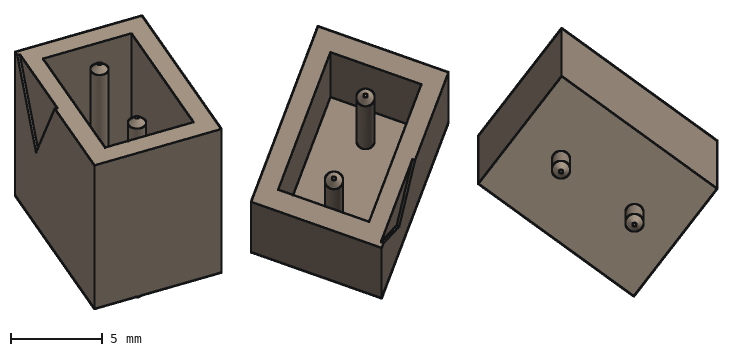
import cadquery as cq

housing_length = 10.6
housing_width = 7.6
total_height = 12.7
pin_protrusion = 2.5
housing_height = total_height - pin_protrusion
wall = 1.15
floor_thickness = wall

pin_diameter = 1.0
pin_point_length = 0.4
pin_pitch = 5.0
pin_positions = [-pin_pitch / 2, pin_pitch / 2]

mark_width = pin_pitch
mark_height = pin_pitch
mark_depth = 0.15
mark_center_x = pin_positions[0]


def make_mark():
    """Triangular prism pointing down, reaching mark_depth in from the -Y face."""
    return (
        cq.Workplane("XZ", origin=(mark_center_x, -housing_width / 2, housing_height))
        .moveTo(-mark_width / 2, 0)
        .lineTo(mark_width / 2, 0)
        .lineTo(0, -mark_height)
        .close()
        .extrude(-mark_depth)
    )


def make_housing():
    """Box with a rectangular cavity, pin holes through the floor and the sunk mark."""
    box = cq.Workplane("XY").rect(housing_length, housing_width).extrude(housing_height)
    cavity = (
        cq.Workplane("XY", origin=(0, 0, floor_thickness))
        .rect(housing_length - 2 * wall, housing_width - 2 * wall)
        .extrude(housing_height - floor_thickness)
    )
    pin_holes = (
        cq.Workplane("XY")
        .pushPoints([(x, 0) for x in pin_positions])
        .circle(pin_diameter / 2)
        .extrude(floor_thickness)
    )
    return box.cut(cavity).cut(pin_holes).cut(make_mark())


def make_pin(x):
    """Vertical pin at the given X, chamfered to a small flat tip at both ends."""
    return (
        cq.Workplane("XY", origin=(x, 0, -pin_protrusion))
        .circle(pin_diameter / 2)
        .extrude(total_height)
        .faces("<Z or >Z")
        .chamfer(pin_point_length)
    )


housing = make_housing()
pins = [make_pin(x) for x in pin_positions]

result = cq.Compound.makeCompound([housing.val(), *[pin.val() for pin in pins]])